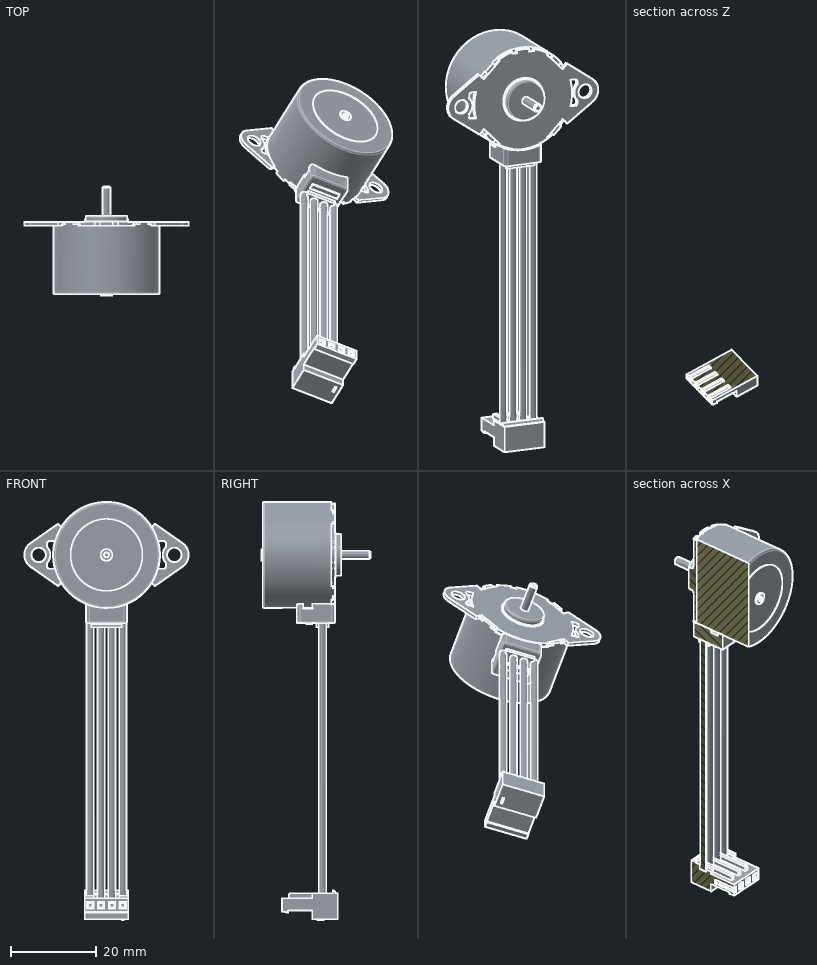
import cadquery as cq
import math


CAN_RADIUS = 12.5
CAN_BACK_Y = -17.0
CAN_EDGE_FILLET = 0.4
CAN_WALL = 1.0
REAR_RECESS_RADIUS = 8.5
REAR_RECESS_DEPTH = 0.1
HUB_RADIUS = 1.4
HUB_HOLE_RADIUS = 0.6
HUB_BACK_Y = -17.3
TAB_WIDTH = 2.8
TAB_SHOULDER_HEIGHT = 0.3

PLATE_THICKNESS = 0.9
PLATE_RADIUS = 12.2
TAB_SLOT_WIDTH = 5.7
TAB_ANGLES = [45, 135, 225, 315]
RIM_NOTCH_X = 2.2
RIM_NOTCH_WIDTH = 1.3
RIM_NOTCH_DEPTH = 0.8
EAR_HOLE_X = 15.9
EAR_HOLE_RADIUS = 1.7
EAR_RADIUS = 38.6 / 2 - EAR_HOLE_X
EAR_EDGE_ANGLE = 35
EAR_EDGE_LENGTH = 9.8
WINDOW_INNER_RADIUS = 12.6
WINDOW_OUTER_X = 14.0
WINDOW_HALF_HEIGHT = 3.2
WINDOW_FILLET = 0.6
HOLE_COLLAR_RADIUS = 2.8

BOSS_RADIUS = 4.9
BOSS_HEIGHT = 1.5
BOSS_FILLET = 0.3
BOSS_FOOT_RADIUS = 5.2
BOSS_FOOT_HEIGHT = 0.2
SHAFT_RADIUS = 1.0
SHAFT_TIP_Y = 8.4
SHAFT_CHAMFER = 0.3

WIRE_COUNT = 4
WIRE_PITCH = 2.6
WIRE_RADIUS = 0.9
WIRE_Y = -2.9
WIRE_XS = [(i - (WIRE_COUNT - 1) / 2) * WIRE_PITCH for i in range(WIRE_COUNT)]

COVER_WIDTH = 9.7
COVER_DEPTH = 9.0
COVER_BOTTOM_Z = -16.0
COVER_EDGE_FILLET = 0.8
COVER_BOTTOM_FILLET = 0.3
GROMMET_WIDTH = 7.1
GROMMET_DEPTH = 2.9
GROMMET_HEIGHT = 1.0
FOOT_RIB_Y = -6.1
FOOT_RIB_DEPTH = 1.4
FOOT_RIB_HEIGHT = 0.3
COVER_WINDOW_Y = -6.4
COVER_WINDOW_WIDTH = 2.2
COVER_WINDOW_BOTTOM_Z = -12.6

PLUG_WIDTH = 10.3
PLUG_BACK_Y = 0.7
PLUG_STEP_Y = -5.4
PLUG_MOUTH_Y = -12.5
PLUG_TOP_Z = -79.4
PLUG_BOTTOM_Z = -85.6
SHELF_TOP_Z = -80.6
SHELF_BOTTOM_Z = -83.5
OUTER_SILL_Z = -80.0
LIP_Y = -11.0
LIP_TIP_Z = -84.0
LIP_MOUTH_Z = -83.7
RIDGE_TOP_Z = -78.7
RIDGE_BACK_Y = 0.2
RIDGE_CREST_Y = -0.3
RIDGE_FRONT_Y = -0.6
RIB_END_Y = -10.9
RIB_WIDTH = WIRE_PITCH - 2 * WIRE_RADIUS
RIB_CHAMFER = 0.4
CELL_SIZE = 1.0
CELL_DEPTH = 5.9
CELL_CHAMFER = 0.3
CELL_Z = -82.3
PIP_SIZE = 0.4
PIP_LENGTH = 1.5
PIP_Y = -3.4
PIP_BOTTOM_Z = -85.8


def box(x_min, x_max, y_min, y_max, z_min, z_max):
    size = (x_max - x_min, y_max - y_min, z_max - z_min)
    return cq.Workplane("XY").box(*size, centered=False).translate((x_min, y_min, z_min))


def disc(radius, y_min, y_max, x=0):
    """Cylinder along Y."""
    return cq.Workplane("XZ", origin=(x, y_max, 0)).circle(radius).extrude(y_max - y_min)


def rim_blocks(width, inner_radius, y_min, y_max):
    """Four radial blocks at the tab angles, reaching out from the inner radius past the can."""
    outer_radius = 2 * CAN_RADIUS
    block = box(inner_radius, outer_radius, y_min, y_max, -width / 2, width / 2)
    blocks = cq.Workplane("XY")
    for angle in TAB_ANGLES:
        blocks = blocks.add(block.rotate((0, 0, 0), (0, 1, 0), angle))
    return blocks.combine()


def make_can():
    can = disc(CAN_RADIUS, CAN_BACK_Y, -PLATE_THICKNESS).faces("<Y").edges().fillet(CAN_EDGE_FILLET)
    can = can.cut(disc(REAR_RECESS_RADIUS, CAN_BACK_Y, CAN_BACK_Y + REAR_RECESS_DEPTH))
    hub = disc(HUB_RADIUS, HUB_BACK_Y, CAN_BACK_Y + REAR_RECESS_DEPTH)
    hub = hub.cut(disc(HUB_HOLE_RADIUS, HUB_BACK_Y, CAN_BACK_Y + REAR_RECESS_DEPTH))
    tab_inner_radius = CAN_RADIUS - CAN_WALL
    shoulder_top_y = TAB_SHOULDER_HEIGHT - PLATE_THICKNESS
    tabs = rim_blocks(TAB_WIDTH, tab_inner_radius, -PLATE_THICKNESS, 0)
    tabs = tabs.union(rim_blocks(TAB_SLOT_WIDTH, tab_inner_radius, -PLATE_THICKNESS, shoulder_top_y))
    tabs = tabs.intersect(disc(CAN_RADIUS, -PLATE_THICKNESS, 0))
    return can.union(hub).union(tabs)


def make_ear():
    """Triangular ear toward +X with a rounded tip, a screw hole and a relief window."""
    angle = math.radians(EAR_EDGE_ANGLE)
    tangent_x = EAR_HOLE_X + EAR_RADIUS * math.sin(angle)
    tangent_z = EAR_RADIUS * math.cos(angle)
    corner_x = tangent_x - EAR_EDGE_LENGTH * math.cos(angle)
    corner_z = tangent_z + EAR_EDGE_LENGTH * math.sin(angle)
    ear = (
        cq.Workplane("XZ")
        .moveTo(0, corner_z)
        .lineTo(corner_x, corner_z)
        .lineTo(tangent_x, tangent_z)
        .threePointArc((EAR_HOLE_X + EAR_RADIUS, 0), (tangent_x, -tangent_z))
        .lineTo(corner_x, -corner_z)
        .lineTo(0, -corner_z)
        .close()
        .extrude(PLATE_THICKNESS)
    )
    window = box(0, WINDOW_OUTER_X, -PLATE_THICKNESS, 0, -WINDOW_HALF_HEIGHT, WINDOW_HALF_HEIGHT)
    window = window.edges("|Y").fillet(WINDOW_FILLET).cut(disc(WINDOW_INNER_RADIUS, -PLATE_THICKNESS, 0))
    window = window.cut(disc(HOLE_COLLAR_RADIUS, -PLATE_THICKNESS, 0, EAR_HOLE_X))
    return ear.cut(window).cut(disc(EAR_HOLE_RADIUS, -PLATE_THICKNESS, 0, EAR_HOLE_X))


def make_plate():
    ear = make_ear()
    plate = disc(PLATE_RADIUS, -PLATE_THICKNESS, 0).union(ear).union(ear.mirror("YZ"))
    plate = plate.cut(rim_blocks(TAB_SLOT_WIDTH, CAN_RADIUS - CAN_WALL, -PLATE_THICKNESS, 0))
    for side in (-1, 1):
        x = side * RIM_NOTCH_X
        half = RIM_NOTCH_WIDTH / 2
        notch_floor = PLATE_RADIUS - RIM_NOTCH_DEPTH
        plate = plate.cut(box(x - half, x + half, -PLATE_THICKNESS, 0, notch_floor, CAN_RADIUS))
    boss = disc(BOSS_RADIUS, 0, BOSS_HEIGHT).faces(">Y").edges().fillet(BOSS_FILLET)
    boss = boss.union(disc(BOSS_FOOT_RADIUS, 0, BOSS_FOOT_HEIGHT))
    return plate.union(boss).cut(disc(SHAFT_RADIUS, -PLATE_THICKNESS, BOSS_HEIGHT))


def make_shaft():
    shaft = disc(SHAFT_RADIUS, -PLATE_THICKNESS, SHAFT_TIP_Y)
    return shaft.faces(">Y").edges().chamfer(SHAFT_CHAMFER)


def make_wire(x):
    """Straight wire from the underside of the cover down to the shelf of the plug."""
    length = COVER_BOTTOM_Z - SHELF_TOP_Z
    return cq.Workplane("XY", origin=(x, WIRE_Y, SHELF_TOP_Z)).circle(WIRE_RADIUS).extrude(length)


def make_cover(wires):
    half = COVER_WIDTH / 2
    cover = box(-half, half, -COVER_DEPTH, 0, COVER_BOTTOM_Z, 0)
    cover = cover.edges("|Z").fillet(COVER_EDGE_FILLET).faces("<Z").edges().fillet(COVER_BOTTOM_FILLET)
    cover = cover.cut(disc(CAN_RADIUS, CAN_BACK_Y, 0))
    cover = cover.cut(
        box(
            -half,
            half,
            COVER_WINDOW_Y - COVER_WINDOW_WIDTH / 2,
            COVER_WINDOW_Y + COVER_WINDOW_WIDTH / 2,
            COVER_WINDOW_BOTTOM_Z,
            0,
        )
    )
    grommet = box(
        -GROMMET_WIDTH / 2,
        GROMMET_WIDTH / 2,
        WIRE_Y - GROMMET_DEPTH / 2,
        WIRE_Y + GROMMET_DEPTH / 2,
        COVER_BOTTOM_Z - GROMMET_HEIGHT,
        COVER_BOTTOM_Z,
    )
    for wire in wires:
        grommet = grommet.cut(wire)
    foot_rib = box(
        -GROMMET_WIDTH / 2,
        GROMMET_WIDTH / 2,
        FOOT_RIB_Y - FOOT_RIB_DEPTH / 2,
        FOOT_RIB_Y + FOOT_RIB_DEPTH / 2,
        COVER_BOTTOM_Z - FOOT_RIB_HEIGHT,
        COVER_BOTTOM_Z,
    )
    return cover.union(grommet).union(foot_rib)


def plug_prism(points, width=PLUG_WIDTH, x=0):
    """Prism along X, centred on x, from an outline of (Y, Z) points."""
    return cq.Workplane("YZ", origin=(x, 0, 0)).polyline(points).close().extrude(width / 2, both=True)


def make_plug():
    plug = plug_prism(
        [
            (PLUG_BACK_Y, PLUG_TOP_Z),
            (RIDGE_BACK_Y, PLUG_TOP_Z),
            (RIDGE_CREST_Y, RIDGE_TOP_Z),
            (RIDGE_FRONT_Y, RIDGE_TOP_Z),
            (RIDGE_FRONT_Y, PLUG_TOP_Z),
            (PLUG_STEP_Y, PLUG_TOP_Z),
            (PLUG_STEP_Y, SHELF_TOP_Z),
            (PLUG_MOUTH_Y, SHELF_TOP_Z),
            (PLUG_MOUTH_Y, LIP_MOUTH_Z),
            (LIP_Y, LIP_TIP_Z),
            (LIP_Y, SHELF_BOTTOM_Z),
            (PLUG_STEP_Y, SHELF_BOTTOM_Z),
            (PLUG_STEP_Y, PLUG_BOTTOM_Z),
            (PLUG_BACK_Y, PLUG_BOTTOM_Z),
        ]
    )
    for x in WIRE_XS:
        is_outer = x in (WIRE_XS[0], WIRE_XS[-1])
        sill_z = OUTER_SILL_Z if is_outer else SHELF_TOP_Z
        channel = box(x - WIRE_RADIUS, x + WIRE_RADIUS, PLUG_STEP_Y, WIRE_Y, sill_z, PLUG_TOP_Z)
        plug = plug.cut(channel).cut(make_wire(x))
        cell = cq.Workplane("XZ", origin=(x, PLUG_MOUTH_Y, CELL_Z)).rect(CELL_SIZE, CELL_SIZE)
        plug = plug.cut(cell.extrude(-CELL_DEPTH))
        mouth_size = CELL_SIZE + 2 * CELL_CHAMFER
        mouth = cq.Workplane("XZ", origin=(x, PLUG_MOUTH_Y, CELL_Z)).rect(mouth_size, mouth_size)
        plug = plug.cut(mouth.extrude(-CELL_CHAMFER, taper=45))
    rib_outline = [
        (PLUG_STEP_Y, SHELF_TOP_Z),
        (PLUG_STEP_Y, PLUG_TOP_Z),
        (RIB_END_Y + RIB_CHAMFER, PLUG_TOP_Z),
        (RIB_END_Y, PLUG_TOP_Z - RIB_CHAMFER),
        (RIB_END_Y, SHELF_TOP_Z),
    ]
    for left_x, right_x in zip(WIRE_XS, WIRE_XS[1:]):
        plug = plug.union(plug_prism(rib_outline, RIB_WIDTH, (left_x + right_x) / 2))
    pip_x = WIRE_XS[-1]
    pip = box(
        pip_x - PIP_SIZE / 2,
        pip_x + PIP_SIZE / 2,
        PIP_Y - PIP_LENGTH / 2,
        PIP_Y + PIP_LENGTH / 2,
        PIP_BOTTOM_Z,
        PLUG_BOTTOM_Z,
    )
    return plug.union(pip)


can = make_can().solids()
plate = make_plate().solids()
shaft = make_shaft().solids()
wires = [make_wire(x).solids() for x in WIRE_XS]
cover = make_cover(wires).solids()
plug = make_plug().solids()

result = cq.Compound.makeCompound(
    [can.val(), plate.val(), shaft.val(), cover.val(), plug.val(), *[wire.val() for wire in wires]]
)